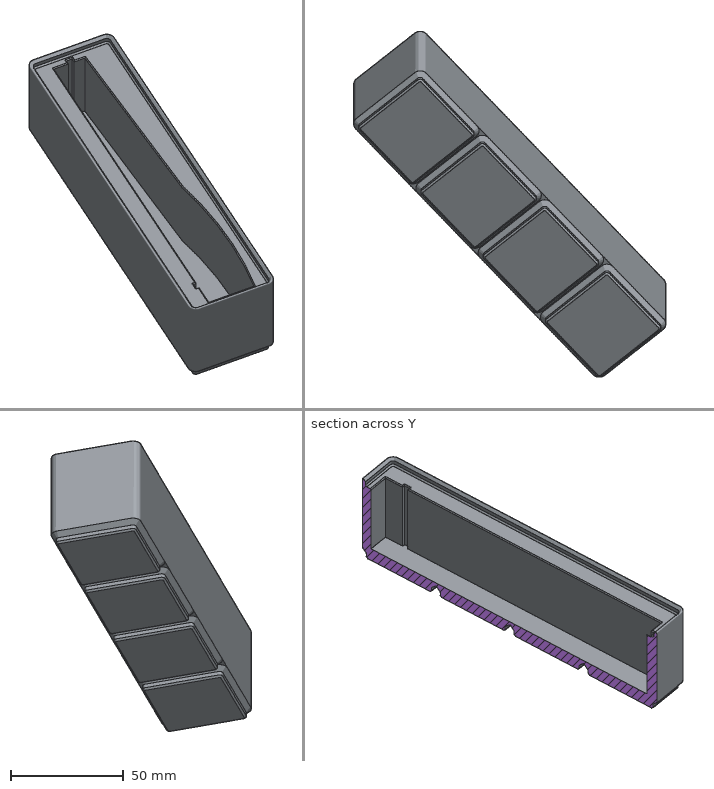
import cadquery as cq
import math

length = 167.5
width = 41.5
height = 45.7
corner_radius = 3.7

foot_count = 4
foot_gap = 0.5
foot_pitch = (length + foot_gap) / foot_count
foot_length = foot_pitch - foot_gap
foot_upper_flare = 2.2
foot_straight = 1.8
foot_lower_flare = 0.8
foot_height = foot_upper_flare + foot_straight + foot_lower_flare

lip_lower_flare = 0.75
lip_straight = 1.8
lip_upper_flare = 1.8
lip_tip_radius = 0.5
lip_tip_loss = lip_tip_radius * math.sqrt(2)
knife_edge_height = height + lip_tip_loss
deck_height = knife_edge_height - lip_upper_flare - lip_straight - lip_lower_flare

pocket_left = -77.9
pocket_right = 78.7
pocket_front = -10.0
pocket_back_left = 5.2
pocket_kink = (11.4, 9.7)
pocket_crest = (49.4, 14.2)
pocket_back_right = 12.2
pocket_floor = 7.0
pocket_rim_chamfer = 0.5

left_notch_depth = 2.0
left_notch_width = 2.8
left_notch_y = -1.5
front_notch_depth = 1.3
front_notch_width = 2.8
front_notch_x = 67.5


def straight_layer(size_x, size_y, inset, bottom, thickness):
    """Upright rounded block whose outline is shrunk evenly by an inset."""
    layer = cq.Workplane("XY").workplane(offset=bottom)
    layer = layer.rect(size_x - 2 * inset, size_y - 2 * inset).extrude(thickness)
    return layer.edges("|Z").fillet(corner_radius - inset)


def flared_layer(size_x, size_y, bottom_inset, bottom, thickness):
    """Rounded block that starts at an inset and widens upward at 45 degrees."""
    outline = cq.Sketch().rect(size_x - 2 * bottom_inset, size_y - 2 * bottom_inset)
    outline = outline.vertices().fillet(corner_radius - bottom_inset)
    return cq.Workplane("XY").workplane(offset=bottom).placeSketch(outline).extrude(thickness, taper=-45)


def make_foot():
    """One foot: 45-degree flare, short vertical band, 45-degree flare."""
    band_inset = foot_upper_flare
    band_top = foot_lower_flare + foot_straight
    lower = flared_layer(foot_length, width, band_inset + foot_lower_flare, 0, foot_lower_flare)
    band = straight_layer(foot_length, width, band_inset, foot_lower_flare, foot_straight)
    upper = flared_layer(foot_length, width, band_inset, band_top, foot_upper_flare)
    return lower.union(band).union(upper)


def make_lip_opening():
    """Space inside the stacking lip: flare, vertical wall, flare."""
    deck_inset = lip_upper_flare + lip_lower_flare
    waist_bottom = deck_height + lip_lower_flare
    waist_top = waist_bottom + lip_straight
    lower = flared_layer(length, width, deck_inset, deck_height, lip_lower_flare)
    waist = straight_layer(length, width, lip_upper_flare, waist_bottom, lip_straight)
    upper = flared_layer(length, width, lip_upper_flare, waist_top, lip_upper_flare)
    return lower.union(waist).union(upper)


def notch(center_x, center_y, size_x, size_y):
    """Rectangular column as deep as the pocket, used to notch its outline."""
    column = cq.Workplane("XY").workplane(offset=pocket_floor).center(center_x, center_y)
    return column.rect(size_x, size_y).extrude(deck_height - pocket_floor)


def make_pocket():
    """Pocket with a sloped then arched back wall and two notches."""
    pocket = (
        cq.Workplane("XY")
        .workplane(offset=pocket_floor)
        .moveTo(pocket_left, pocket_front)
        .lineTo(pocket_right, pocket_front)
        .lineTo(pocket_right, pocket_back_right)
        .threePointArc(pocket_crest, pocket_kink)
        .lineTo(pocket_left, pocket_back_left)
        .close()
        .extrude(deck_height - pocket_floor)
    )
    left_notch = notch(pocket_left, left_notch_y, 2 * left_notch_depth, left_notch_width)
    front_notch = notch(front_notch_x, pocket_front, front_notch_width, 2 * front_notch_depth)
    return pocket.union(left_notch).union(front_notch)


body = straight_layer(length, width, 0, foot_height, knife_edge_height - foot_height)
body = body.cut(make_lip_opening())
body = body.edges(">Z").fillet(lip_tip_radius)

body = body.cut(make_pocket())
rim_margin = 0.3
rim_band = cq.selectors.BoxSelector(
    (
        pocket_left - left_notch_depth - rim_margin,
        pocket_front - front_notch_depth - rim_margin,
        deck_height - rim_margin,
    ),
    (pocket_right + rim_margin, pocket_crest[1] + rim_margin, deck_height + rim_margin),
)
body = body.edges(rim_band).chamfer(pocket_rim_chamfer)

foot = make_foot()
for index in range(foot_count):
    foot_x = (index - (foot_count - 1) / 2) * foot_pitch
    body = body.union(foot.translate((foot_x, 0, 0)))

result = body